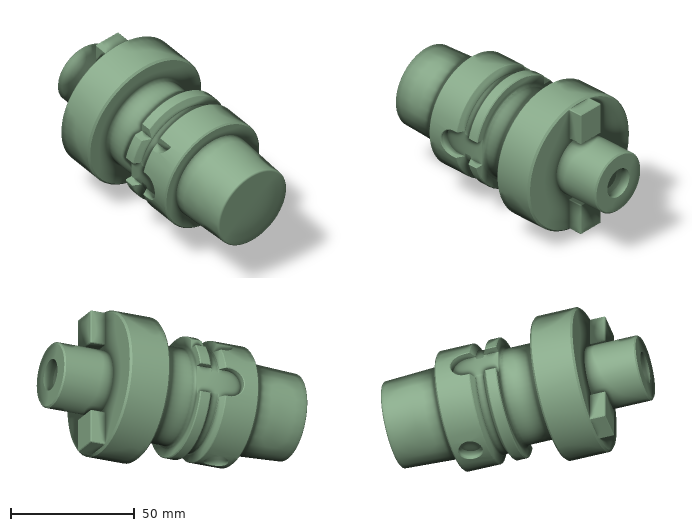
import cadquery as cq
import math


length = 106.5
key_front = 15.1
disc_front = 21.5
disc_back = 39.5
flange_width = 26.0
flange_back = 81.5
flange_front = flange_back - flange_width

spigot_diameter = 27.0
disc_diameter = 60.0
neck_diameter = 40.0
flange_diameter = 50.0
taper_base_diameter = 38.5
taper_per_length = 0.1

spigot_chamfer = 0.6
disc_chamfer = 0.8
neck_front_fillet = 1.0
neck_back_fillet = 1.2
flange_front_chamfer = 0.4
flange_back_chamfer = 0.6
taper_end_fillet = 0.8

groove_setback = 18.0
groove_center = flange_back - groove_setback
groove_diameter = 43.0
groove_floor_width = 3.3
groove_mouth_width = 6.8
groove_wall_angle = 60.0
groove_edge_radius = 0.5
groove_floor_fillet = 0.3

bore_diameter = 13.0
bore_depth = 4.3
bore_floor_diameter = 10.0
bore_cone_half_angle = 45.0

key_width = 12.0
key_inner = 14.6
key_outer = 28.7
key_chamfer = 0.3

slot_width = 12.0
slot_floor = 21.0
slot_rim_chamfer = 0.3
slot_end_center = 68.7
notch_floor = 15.5
notch_side = 15.6
notch_end_center = 68.3

pocket_diameter = 10.0
pocket_center = 74.0
pocket_depth = 5.0


def turned_body():
    """Solid of revolution: spigot, disc, neck, flange and taper shank."""
    taper_end_diameter = taper_base_diameter - taper_per_length * (length - flange_back)
    spigot_radius = spigot_diameter / 2
    disc_radius = disc_diameter / 2
    neck_radius = neck_diameter / 2
    flange_radius = flange_diameter / 2
    profile = (
        cq.Workplane("XY")
        .moveTo(0, 0)
        .lineTo(0, spigot_radius - spigot_chamfer)
        .lineTo(spigot_chamfer, spigot_radius)
        .lineTo(disc_front, spigot_radius)
        .lineTo(disc_front, disc_radius - disc_chamfer)
        .lineTo(disc_front + disc_chamfer, disc_radius)
        .lineTo(disc_back - disc_chamfer, disc_radius)
        .lineTo(disc_back, disc_radius - disc_chamfer)
        .lineTo(disc_back, neck_radius + neck_front_fillet)
        .radiusArc((disc_back + neck_front_fillet, neck_radius), -neck_front_fillet)
        .lineTo(flange_front - neck_back_fillet, neck_radius)
        .radiusArc((flange_front, neck_radius + neck_back_fillet), -neck_back_fillet)
        .lineTo(flange_front, flange_radius - flange_front_chamfer)
        .lineTo(flange_front + flange_front_chamfer, flange_radius)
        .lineTo(flange_back - flange_back_chamfer, flange_radius)
        .lineTo(flange_back, flange_radius - flange_back_chamfer)
        .lineTo(flange_back, taper_base_diameter / 2)
        .lineTo(length, taper_end_diameter / 2)
        .lineTo(length, 0)
        .close()
    )
    body = profile.revolve(360, (0, 0, 0), (1, 0, 0))
    return body.faces(">X").edges().fillet(taper_end_fillet)


def cut_groove(body):
    """Gripper groove: filleted floor channel, sloping walls and rounded mouth."""
    flange_radius = flange_diameter / 2
    floor_radius = groove_diameter / 2
    wall_angle = math.radians(groove_wall_angle)
    floor_half = groove_floor_width / 2
    flat_half = floor_half - groove_floor_fillet
    mouth_half = groove_mouth_width / 2
    wall_foot_radius = flange_radius - (mouth_half - floor_half) * math.tan(wall_angle)
    round_run = groove_edge_radius * math.tan(wall_angle / 2)
    round_half = mouth_half + round_run
    wall_top_half = mouth_half - round_run * math.cos(wall_angle)
    wall_top_radius = flange_radius - round_run * math.sin(wall_angle)
    cutter = (
        cq.Workplane("XY", origin=(groove_center, 0, 0))
        .moveTo(-flat_half, floor_radius)
        .lineTo(flat_half, floor_radius)
        .radiusArc((floor_half, floor_radius + groove_floor_fillet), -groove_floor_fillet)
        .lineTo(floor_half, wall_foot_radius)
        .lineTo(wall_top_half, wall_top_radius)
        .radiusArc((round_half, flange_radius), groove_edge_radius)
        .lineTo(round_half, disc_diameter / 2)
        .lineTo(-round_half, disc_diameter / 2)
        .lineTo(-round_half, flange_radius)
        .radiusArc((-wall_top_half, wall_top_radius), groove_edge_radius)
        .lineTo(-floor_half, wall_foot_radius)
        .lineTo(-floor_half, floor_radius + groove_floor_fillet)
        .radiusArc((-flat_half, floor_radius), -groove_floor_fillet)
        .close()
        .revolve(360, (0, 0, 0), (1, 0, 0))
    )
    return body.cut(cutter)


def cut_bore(body):
    """Blind axial bore that narrows to a flat floor through a cone."""
    bore_radius = bore_diameter / 2
    floor_radius = bore_floor_diameter / 2
    cone_depth = (bore_radius - floor_radius) / math.tan(math.radians(bore_cone_half_angle))
    floor_depth = bore_depth + cone_depth
    cutter = (
        cq.Workplane("XY")
        .polyline(
            [
                (0, 0),
                (0, bore_radius),
                (bore_depth, bore_radius),
                (floor_depth, floor_radius),
                (floor_depth, 0),
            ]
        )
        .close()
        .revolve(360, (0, 0, 0), (1, 0, 0))
    )
    return body.cut(cutter)


def driving_key(side):
    """One rectangular key on the disc face; side is +1 (top) or -1 (bottom)."""
    key_center = side * (key_inner + key_outer) / 2
    key_length = disc_front - key_front
    return (
        cq.Workplane("YZ", origin=(key_front, 0, key_center))
        .rect(key_width, key_outer - key_inner)
        .extrude(key_length)
        .edges("<X or |X")
        .chamfer(key_chamfer)
    )


def rounded_slot(end_center, center_height, floor_y, side):
    """Cutter open to the flange front, with a round end, lying outside y = side * floor_y."""
    radius = slot_width / 2
    start = flange_front - neck_back_fillet
    outline = (
        cq.Workplane("XZ", origin=(0, side * floor_y, 0))
        .moveTo(start, center_height - radius)
        .lineTo(end_center, center_height - radius)
        .threePointArc((end_center + radius, center_height), (end_center, center_height + radius))
        .lineTo(start, center_height + radius)
        .close()
    )
    return outline.extrude(-side * flange_diameter / 2)


def cut_drive_slots(body):
    """Two opposite drive slots with a chamfered rim on the flange surface."""
    flange_radius = flange_diameter / 2
    rim_half = slot_width / 2
    rim_low = math.sqrt(flange_radius**2 - rim_half**2)
    rim_end = slot_end_center + rim_half
    margin = 0.1
    for side in (1, -1):
        body = body.cut(rounded_slot(slot_end_center, 0, slot_floor, side))
        rim = cq.selectors.BoxSelector(
            (flange_front + flange_front_chamfer - margin, side * (rim_low - margin), -rim_half - margin),
            (rim_end + margin, side * (flange_radius + margin), rim_half + margin),
            boundingbox=True,
        )
        body = body.edges(rim).chamfer(slot_rim_chamfer)
    return body


def cut_notch(body):
    """Orientation notch beside the front drive slot."""
    notch_center = notch_side + slot_width / 2
    return body.cut(rounded_slot(notch_end_center, notch_center, notch_floor, -1))


def cut_round_pocket(body):
    """Blind round pocket in the underside of the flange."""
    cutter = (
        cq.Workplane("XY", origin=(pocket_center, 0, -flange_diameter / 2))
        .circle(pocket_diameter / 2)
        .extrude(pocket_depth)
    )
    return body.cut(cutter)


body = cut_bore(turned_body())
body = cut_drive_slots(body)
body = cut_groove(body)
body = cut_notch(body)
body = cut_round_pocket(body)
for key_side in (1, -1):
    body = body.union(driving_key(key_side))
result = body